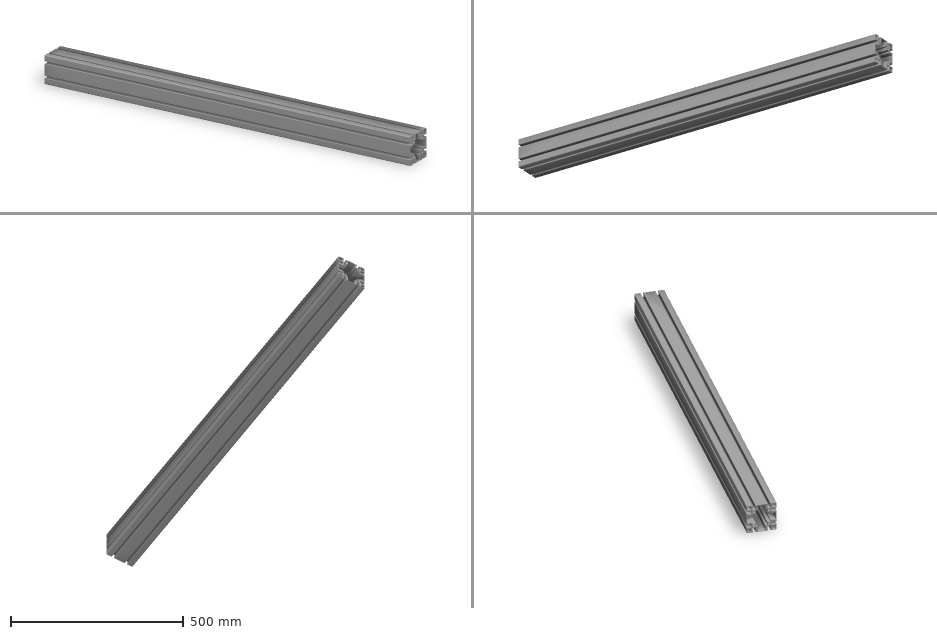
import cadquery as cq

LENGTH = 1250.0
SIDE = 90.0
CORNER_RADIUS = 2.0
OUTER_WALL = 1.4

SLOT_OFFSET = SIDE / 4
SLOT_DEPTH = 15.0
MOUTH_WIDTH = 7.9
UNDERCUT_WIDTH = 10.0
LIP_THICKNESS = 3.9
MOUTH_RADIUS = 0.6
LIP_RADIUS = 0.8
FLOOR_RADIUS = 1.0

HOLLOW_ARM_WIDTH = 24.0
CORE_WEB = 2.2
CORE_INNER_WALL = 4.8
CORE_HOLE_DIAMETER = 8.2

CORNER_SIDE_WALL = 4.2
CORNER_HOLLOW_RADIUS = 6.0

HALF_SIDE = SIDE / 2
SLOT_FLOOR = HALF_SIDE - SLOT_DEPTH
LIP_LEVEL = HALF_SIDE - LIP_THICKNESS
QUADRANTS = [(1, 1), (1, -1), (-1, 1), (-1, -1)]


def bar(width, height, y=0.0, z=0.0):
    """Rectangular bar along X, centred on (y, z)."""
    return cq.Workplane("YZ").center(y, z).rect(width, height).extrude(LENGTH)


def four_corners(y, z):
    """A section point and its mirror images about both axes."""
    return [(side_y * y, side_z * z) for side_y, side_z in QUADRANTS]


def slot_edges(half_width, level):
    """Section points of one kind of slot edge, for all eight slots."""
    points = []
    for offset in (SLOT_OFFSET - half_width, SLOT_OFFSET + half_width):
        points += four_corners(offset, level)
        points += four_corners(level, offset)
    return points


def round_edges(body, points, radius):
    """Fillet the lengthwise edges that pass through the given section points."""
    tolerance = 0.01
    edges = body.edges("|X").filter(
        lambda edge: any(
            abs(edge.Center().y - y) < tolerance and abs(edge.Center().z - z) < tolerance
            for y, z in points
        )
    )
    return edges.fillet(radius)


def slotted_bar():
    """Solid bar with its rounded corners and eight T-slots."""
    body = bar(SIDE, SIDE).edges("|X").fillet(CORNER_RADIUS)
    mouth_middle = (HALF_SIDE + LIP_LEVEL) / 2
    undercut_middle = (LIP_LEVEL + SLOT_FLOOR) / 2
    undercut_height = LIP_LEVEL - SLOT_FLOOR
    for y, z in four_corners(SLOT_OFFSET, mouth_middle):
        body = body.cut(bar(MOUTH_WIDTH, LIP_THICKNESS, y, z))
        body = body.cut(bar(LIP_THICKNESS, MOUTH_WIDTH, z, y))
    for y, z in four_corners(SLOT_OFFSET, undercut_middle):
        body = body.cut(bar(UNDERCUT_WIDTH, undercut_height, y, z))
        body = body.cut(bar(undercut_height, UNDERCUT_WIDTH, z, y))

    body = round_edges(body, slot_edges(MOUTH_WIDTH / 2, HALF_SIDE), MOUTH_RADIUS)
    body = round_edges(body, slot_edges(MOUTH_WIDTH / 2, LIP_LEVEL), LIP_RADIUS)
    return round_edges(body, slot_edges(UNDERCUT_WIDTH / 2, SLOT_FLOOR), FLOOR_RADIUS)


def middle_hollow():
    """Cross whose arms reach the outer walls and widen between the slot cores."""
    arm_length = SIDE - 2 * OUTER_WALL
    wide_width = 2 * (SLOT_OFFSET - CORE_INNER_WALL)
    wide_length = 2 * (SLOT_FLOOR - CORE_WEB)
    hollow = bar(HOLLOW_ARM_WIDTH, arm_length).union(bar(arm_length, HOLLOW_ARM_WIDTH))
    return hollow.union(bar(wide_width, wide_length)).union(bar(wide_length, wide_width))


def corner_hollow(side_y, side_z):
    """Square hollow in one corner, rounded towards the outer corner of the bar."""
    inner = SLOT_OFFSET + UNDERCUT_WIDTH / 2 + CORNER_SIDE_WALL
    outer = HALF_SIDE - OUTER_WALL
    middle = (inner + outer) / 2
    size = outer - inner
    hollow = bar(size, size, side_y * middle, side_z * middle)
    return round_edges(hollow, [(side_y * outer, side_z * outer)], CORNER_HOLLOW_RADIUS)


def core_hole(side_y, side_z):
    """Round hole through the core where two slots meet."""
    centre = cq.Workplane("YZ").center(side_y * SLOT_OFFSET, side_z * SLOT_OFFSET)
    return centre.circle(CORE_HOLE_DIAMETER / 2).extrude(LENGTH)


result = slotted_bar().cut(middle_hollow())
for quadrant in QUADRANTS:
    result = result.cut(corner_hollow(*quadrant))
    result = result.cut(core_hole(*quadrant))